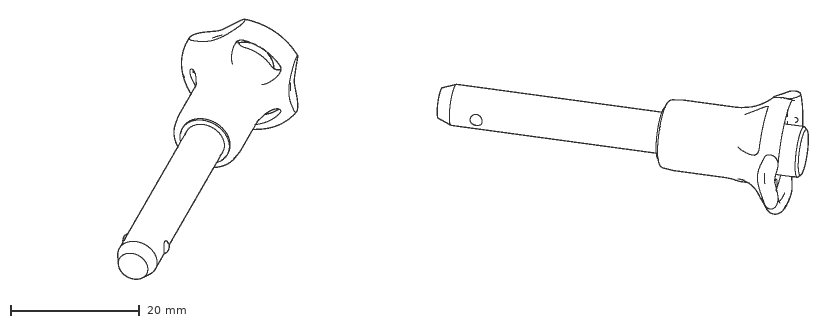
import cadquery as cq
import math

total_length = 57.9

button_radius = 4.0
button_chamfer = 0.4

flange_diameter = 20.3
flange_radius = flange_diameter / 2
rim_back = 2.15
rim_radius = 1.15
inner_rim_radius = 1.0
recess_depth = 4.35
body_radius = 5.55
flare_end = 11.6
lobe_count = 3

scallop_depth_radius = 8.1
scallop_half_angle = 31.0

slot_radius = 6.95
slot_width = 2.2
slot_half_angle = 26.0
hole_diameter = 2.3

taper_start = 19.9
taper_end = 21.5
body_end = 22.2
taper_end_radius = 5.4
end_round = body_end - taper_end
body_end_radius = taper_end_radius - end_round
collar_radius = 4.05
collar_end = 22.6

pin_radius = 3.25
tip_radius = 2.45
tip_length = 2.15
ball_radius = 1.15
ball_offset = 2.6
ball_depth = 51.5


def polar(radius, degrees):
    angle = math.radians(degrees)
    return (radius * math.cos(angle), radius * math.sin(angle))


def handle():
    """Revolved body with a flare that blends into the rounded rim of a recessed back."""
    rim_center = (flange_radius - rim_radius, -(rim_back + rim_radius))
    inner_rim_center = (rim_center[0], -(rim_back + inner_rim_radius))
    radial_gap = rim_center[0] - body_radius
    axial_gap = rim_center[1] + flare_end
    flare_radius = (radial_gap**2 + axial_gap**2 - rim_radius**2) / (2 * (radial_gap + rim_radius))
    flare_center = (body_radius + flare_radius, -flare_end)
    rim_angle = math.degrees(math.atan2(axial_gap, radial_gap - flare_radius))

    def around(center, radius, degrees):
        x, y = polar(radius, degrees)
        return (center[0] + x, center[1] + y)

    flare_mid_angle = (rim_angle + 180) / 2
    recess_radius = rim_center[0] - inner_rim_radius
    return (
        cq.Workplane("XY")
        .moveTo(0, -recess_depth)
        .lineTo(recess_radius, -recess_depth)
        .lineTo(*around(inner_rim_center, inner_rim_radius, 180))
        .threePointArc(around(inner_rim_center, inner_rim_radius, 135), (rim_center[0], -rim_back))
        .threePointArc(
            around(rim_center, rim_radius, 0),
            around(rim_center, rim_radius, rim_angle - 180),
        )
        .threePointArc(around(flare_center, flare_radius, flare_mid_angle), (body_radius, -flare_end))
        .lineTo(body_radius, -taper_start)
        .lineTo(taper_end_radius, -taper_end)
        .threePointArc(
            around((body_end_radius, -taper_end), end_round, -45),
            (body_end_radius, -body_end),
        )
        .lineTo(0, -body_end)
        .close()
        .revolve(360, (0, 0), (0, 1))
    )


def rod(radius, start, end):
    """Cylinder on the Y axis between two depths."""
    return cq.Workplane("XZ", origin=(0, -start, 0)).circle(radius).extrude(end - start)


def scallop(direction):
    """Cutter with a large-radius convex side that leaves a concave edge on the flange."""
    corner = polar(flange_radius, scallop_half_angle)
    sagitta = corner[0] - scallop_depth_radius
    radius = (corner[1] ** 2 + sagitta**2) / (2 * sagitta)
    cutter = (
        cq.Workplane("XZ")
        .center(scallop_depth_radius + radius, 0)
        .circle(radius)
        .extrude(flare_end)
    )
    return cutter.rotate((0, 0, 0), (0, 1, 0), -direction)


def slot(direction):
    """Arc-shaped slot with round ends, parallel to the axis."""
    inner = slot_radius - slot_width / 2
    outer = slot_radius + slot_width / 2
    start = direction - slot_half_angle
    end = direction + slot_half_angle
    end_caps = (
        cq.Workplane("XZ")
        .pushPoints([polar(slot_radius, start), polar(slot_radius, end)])
        .circle(slot_width / 2)
        .extrude(flare_end)
    )
    return (
        cq.Workplane("XZ")
        .moveTo(*polar(inner, start))
        .threePointArc(polar(inner, direction), polar(inner, end))
        .lineTo(*polar(outer, end))
        .threePointArc(polar(outer, direction), polar(outer, start))
        .close()
        .extrude(flare_end)
        .union(end_caps)
    )


result = handle()
for index in range(lobe_count):
    result = result.cut(scallop(index * 360 / lobe_count))
for lobe_direction in (60, 300):
    result = result.cut(slot(lobe_direction))
lanyard_hole = (
    cq.Workplane("XZ")
    .center(-slot_radius, 0)
    .circle(hole_diameter / 2)
    .extrude(flare_end)
)
result = result.cut(lanyard_hole)

button = rod(button_radius, 0, flare_end).faces(">Y").chamfer(button_chamfer)
collar = rod(collar_radius, flare_end, collar_end)
pin = rod(pin_radius, flare_end, total_length)
pin = pin.faces("<Y").chamfer(tip_length, pin_radius - tip_radius)
result = result.union(button).union(collar).union(pin)

for side in (-1, 1):
    ball = cq.Workplane("XY").sphere(ball_radius).translate((side * ball_offset, -ball_depth, 0))
    result = result.union(ball)